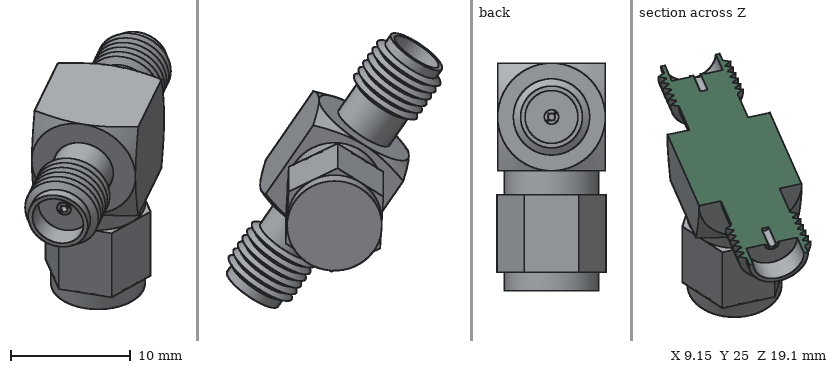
import cadquery as cq
import math


body_size = 9.0
body_bevel_angle = 25.0

overall_length = 25.04
socket_diameter = 5.17
thread_diameter = 6.38
thread_pitch = 25.4 / 36
thread_count = 6
thread_end_gap = 0.84
bore_diameter = 4.42
bore_depth = 1.95

contact_diameter = 1.2
contact_height = 0.1
contact_hole_diameter = 0.6
contact_hole_depth = 2.0
contact_slit_width = 0.12
contact_slit_angle = 45.0

nut_sides = 6
nut_corner_diameter = 9.15
nut_neck_length = 2.0
nut_hex_length = 6.5
overall_height = 19.05

body_half = body_size / 2
socket_end = overall_length / 2
socket_radius = socket_diameter / 2
thread_radius = thread_diameter / 2
bore_floor = socket_end - bore_depth
nut_flat_diameter = nut_corner_diameter * math.cos(math.pi / nut_sides)
nut_length = overall_height - body_size


def y_cylinder(diameter, start, end):
    """Cylinder along +Y between two distances from the origin."""
    return cq.Workplane("XZ", origin=(0, start, 0)).circle(diameter / 2).extrude(start - end)


def make_body():
    """Cube whose two Y ends are bevelled at the corners by a cone tangent to the sides."""
    cube = cq.Workplane("XY").box(body_size, body_size, body_size)
    corner_radius = body_half * math.sqrt(2)
    bevel_depth = (corner_radius - body_half) * math.tan(math.radians(body_bevel_angle))
    bevel_start = body_half - bevel_depth
    envelope = (
        cq.Workplane("XY")
        .moveTo(0, -body_half)
        .lineTo(body_half, -body_half)
        .lineTo(corner_radius, -bevel_start)
        .lineTo(corner_radius, bevel_start)
        .lineTo(body_half, body_half)
        .lineTo(0, body_half)
        .close()
        .revolve(360, (0, 0, 0), (0, 1, 0))
    )
    return cube.intersect(envelope)


def make_socket():
    """Socket on +Y: a stem with sharp ring-shaped thread ridges, revolved about Y."""
    profile = cq.Workplane("XY").lineTo(0, socket_end).lineTo(socket_radius, socket_end)
    thread_start = socket_end - thread_end_gap
    profile = profile.lineTo(socket_radius, thread_start)
    for ridge in range(thread_count):
        ridge_start = thread_start - ridge * thread_pitch
        profile = profile.lineTo(thread_radius, ridge_start - thread_pitch / 2)
        profile = profile.lineTo(socket_radius, ridge_start - thread_pitch)
    return profile.lineTo(socket_radius, 0).close().revolve(360, (0, 0, 0), (0, 1, 0))


def make_contact():
    """Split tube standing on the bore floor of the +Y socket."""
    tip = bore_floor + contact_height
    tube = y_cylinder(contact_diameter, bore_floor, tip)
    tube = tube.cut(y_cylinder(contact_hole_diameter, bore_floor, tip))
    slit = (
        cq.Workplane("XY")
        .box(contact_diameter, contact_height, contact_slit_width)
        .translate((0, bore_floor + contact_height / 2, 0))
        .rotate((0, 0, 0), (0, 1, 0), contact_slit_angle)
    )
    return tube.cut(slit)


def make_socket_cavity():
    """Open space inside the +Y socket: the bore around the contact, and the contact hole."""
    bore = y_cylinder(bore_diameter, bore_floor, socket_end).cut(make_contact())
    hole_floor = bore_floor + contact_height - contact_hole_depth
    return bore.union(y_cylinder(contact_hole_diameter, hole_floor, bore_floor))


def make_nut():
    """Round barrel below the body with a hexagonal grip; the barrel touches the hex flats."""
    barrel_top = cq.Workplane("XY", origin=(0, 0, -body_half))
    barrel = barrel_top.circle(nut_flat_diameter / 2).extrude(-nut_length)
    grip_top = cq.Workplane("XY", origin=(0, 0, -body_half - nut_neck_length))
    grip = grip_top.polygon(nut_sides, nut_corner_diameter).extrude(-nut_hex_length)
    return barrel.union(grip)


result = make_body().union(make_nut())
for turn in (0, 180):
    socket = make_socket().rotate((0, 0, 0), (0, 0, 1), turn)
    cavity = make_socket_cavity().rotate((0, 0, 0), (0, 0, 1), turn)
    result = result.union(socket).cut(cavity)